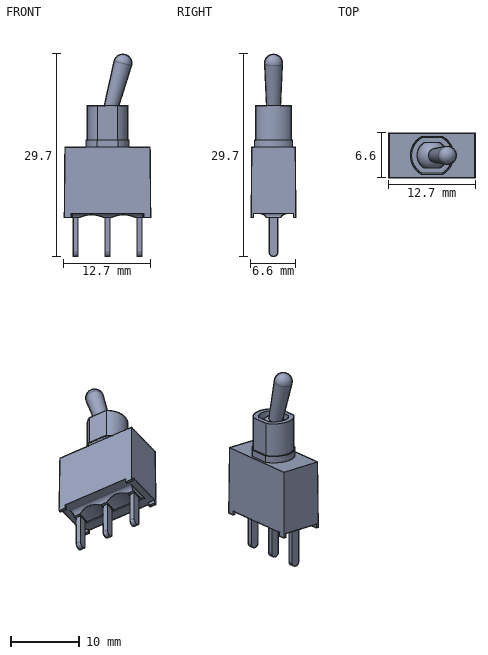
import cadquery as cq
import math

body_length = 12.7
body_width = 6.6
body_inset = 0.1
foot_bottom = 5.7
underside = 6.3
body_top = 16.05
foot_inner_x = 5.3
foot_inner_y = 2.9

collar_radius = 3.18
collar_flat = 2.8
collar_top = 17.07
bushing_radius = 3.0
bushing_flat = 2.6
bushing_top = 22.15
bore_radius = 2.2
bore_flat = 1.87

pivot_height = 19.97
ball_radius = 2.2
lever_angle = 15
tip_radius = 1.35
lever_root_radius = 0.95
overall_height = 29.68
lever_length = (overall_height - tip_radius - pivot_height) / math.cos(math.radians(lever_angle))

pin_pitch = 4.7
pin_thickness = 0.75
pin_width = 1.28
pin_positions = [-pin_pitch, 0, pin_pitch]

seal_margin = 0.15
seal_saddle_height = 6.1
seal_foot_half = 1.05
seal_root_half = 1.87
seal_flank_sag = 0.12
seal_end_sag = 0.1


def double_flat(radius, flat, bottom, top):
    """Upright cylinder cut by two flats at Y = -flat and Y = +flat."""
    height = top - bottom
    cylinder = cq.Workplane("XY").workplane(offset=bottom).circle(radius).extrude(height)
    slab = cq.Workplane("XY").workplane(offset=bottom).rect(2 * radius, 2 * flat).extrude(height)
    return cylinder.intersect(slab)


def make_body():
    """Drafted block whose underside is cleared to leave four corner feet."""
    height = body_top - foot_bottom
    draft = math.degrees(math.atan(body_inset / height))
    block = (
        cq.Workplane("XY").workplane(offset=foot_bottom)
        .rect(body_length, body_width).extrude(height, taper=draft)
    )
    clearance = cq.Workplane("XY").workplane(offset=foot_bottom)
    clear_depth = underside - foot_bottom
    along_x = clearance.rect(body_length, 2 * foot_inner_y).extrude(clear_depth)
    along_y = clearance.rect(2 * foot_inner_x, body_width).extrude(clear_depth)
    return block.cut(along_x).cut(along_y)


def make_lever():
    """Tilted cone with a round tip, rooted in a ball."""
    profile = (
        cq.Workplane("XZ")
        .lineTo(lever_root_radius, 0)
        .lineTo(tip_radius, lever_length)
        .radiusArc((0, lever_length + tip_radius), -tip_radius)
        .close()
    )
    stick = profile.revolve(360, (0, 0, 0), (0, 1, 0))
    ball = cq.Workplane("XY").sphere(ball_radius)
    lever = ball.union(stick).rotate((0, 0, 0), (0, 1, 0), lever_angle)
    return lever.translate((0, 0, pivot_height))


def make_pin(x):
    """Flat pin with a fully rounded end, set into the body."""
    half = pin_width / 2
    return (
        cq.Workplane("YZ").workplane(offset=x - pin_thickness / 2)
        .moveTo(-half, underside)
        .lineTo(-half, half)
        .threePointArc((0, 0), (half, half))
        .lineTo(half, underside)
        .close()
        .extrude(pin_thickness)
    )


def make_seal():
    """Compound scalloped between the pins and hollow on both flanks."""
    rim = pin_thickness / 2 + seal_margin
    outline = (
        cq.Workplane("XZ")
        .moveTo(-foot_inner_x, underside)
        .sagittaArc((-pin_pitch - rim, foot_bottom), seal_end_sag)
    )
    for left, right in zip(pin_positions, pin_positions[1:]):
        outline = (
            outline.lineTo(left + rim, foot_bottom)
            .threePointArc(((left + right) / 2, seal_saddle_height), (right - rim, foot_bottom))
        )
    lengthwise = (
        outline.lineTo(pin_pitch + rim, foot_bottom)
        .sagittaArc((foot_inner_x, underside), seal_end_sag)
        .close()
        .extrude(seal_root_half, both=True)
    )
    crosswise = (
        cq.Workplane("YZ")
        .moveTo(-seal_root_half, underside)
        .sagittaArc((-seal_foot_half, foot_bottom), seal_flank_sag)
        .lineTo(seal_foot_half, foot_bottom)
        .sagittaArc((seal_root_half, underside), seal_flank_sag)
        .close()
        .extrude(foot_inner_x, both=True)
    )
    return lengthwise.intersect(crosswise)


collar = double_flat(collar_radius, collar_flat, body_top, collar_top)
bushing = double_flat(bushing_radius, bushing_flat, collar_top, bushing_top)
bore = double_flat(bore_radius, bore_flat, pivot_height, bushing_top)

result = make_body().union(collar).union(bushing).cut(bore).union(make_lever()).union(make_seal())
for pin_x in pin_positions:
    result = result.union(make_pin(pin_x))